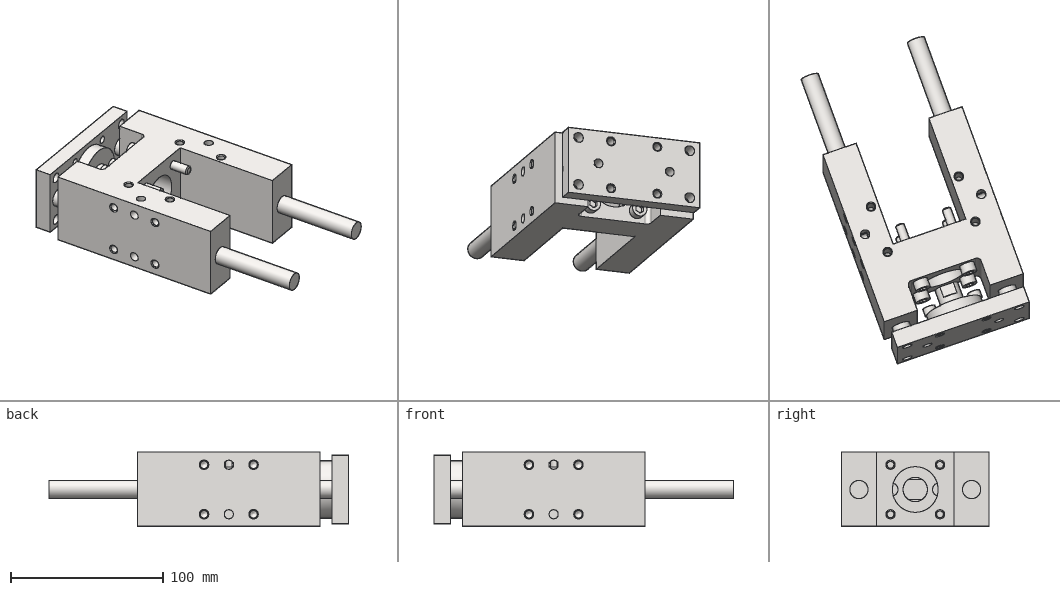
import cadquery as cq
import math


total_length = 197.0
plate_thickness = 11.0
flange_thickness = 7.75
housing_front = plate_thickness + flange_thickness

housing_length = 120.0
housing_width = 97.0
housing_height = 49.0
housing_centre_z = 0.25
housing_top = housing_centre_z + housing_height / 2
housing_middle = housing_front + housing_length / 2
channel_width = 50.6
pocket_depth = 20.3
pocket_corner_radius = 3.0
web_thickness = 27.3
web_front = housing_front + pocket_depth
web_back = web_front + web_thickness
cylinder_bore_diameter = 30.0

rod_diameter = 12.0
rod_y = 37.0

screw_pitch = 32.5
half_pitch = screw_pitch / 2
top_thread_y = 30.6
top_dowel_y = 40.5
thread_core_diameter = 4.92
thread_mouth_diameter = 6.2
thread_depth = 12.0
drill_point_angle = 118.0
dowel_diameter = 6.0
dowel_depth = 10.0

web_screw_diameter = 6.0
web_screw_head_diameter = 10.0
web_screw_head_height = 6.0
web_screw_overhang = 12.9
web_screw_tip_chamfer = 0.8
web_screw_socket = 5.0
web_screw_socket_depth = 3.0

plate_width = 92.0
plate_height = 45.0
corner_hole_diameter = 6.6
corner_hole_y = 39.0
dowel_hole_y = 25.0

flange_diameter = 38.0
flange_screw_y = 15.6
flange_screw_head_diameter = 8.5
flange_screw_head_height = 5.0
coupling_diameter = 16.0
coupling_length = 14.2
coupling_flat_length = 7.5
coupling_across_flats = 13.0


def cylinder(x, y, z, diameter, length, direction=(1, 0, 0)):
    """Cylinder that starts at a point and runs in the given direction."""
    return cq.Workplane(
        cq.Solid.makeCylinder(diameter / 2, length, cq.Vector(x, y, z), cq.Vector(*direction))
    )


def x_block(x, length, width, height, centre_z=0.0):
    """Block along X, starting at x and centred on Y = 0 and the given height."""
    block = cq.Workplane("XY").box(length, width, height, centered=(False, True, True))
    return block.translate((x, 0, centre_z))


def countersink(x, y, z, direction):
    """45 degree cone that breaks the mouth of a threaded hole."""
    depth = (thread_mouth_diameter - thread_core_diameter) / 2
    return cq.Workplane(cq.Solid.makeCone(
        thread_mouth_diameter / 2, thread_core_diameter / 2, depth,
        cq.Vector(x, y, z), cq.Vector(*direction),
    ))


def blind_thread(x, y, z, direction):
    """Cutter for a countersunk thread hole with a conical drill point."""
    core_radius = thread_core_diameter / 2
    point_length = core_radius / math.tan(math.radians(drill_point_angle / 2))
    start = cq.Vector(x, y, z)
    axis = cq.Vector(*direction)
    point = cq.Workplane(cq.Solid.makeCone(core_radius, 0, point_length, start + axis * thread_depth, axis))
    core = cylinder(x, y, z, thread_core_diameter, thread_depth, direction)
    return core.union(point).union(countersink(x, y, z, direction))


def web_screw(y, z):
    """Socket head screw through the web, its tip standing out at the back."""
    head_front = web_front - web_screw_head_height
    shank_length = web_thickness + web_screw_overhang
    head = cylinder(head_front, y, z, web_screw_head_diameter, web_screw_head_height)
    shank = cylinder(web_front, y, z, web_screw_diameter, shank_length)
    shank = shank.faces(">X").chamfer(web_screw_tip_chamfer)
    socket = (
        cq.Workplane("YZ", origin=(head_front, y, z))
        .transformed(rotate=(0, 0, 30))
        .polygon(6, web_screw_socket / math.cos(math.pi / 6))
        .extrude(web_screw_socket_depth)
    )
    return head.union(shank).cut(socket)


def make_housing():
    body = x_block(housing_front, housing_length, housing_width, housing_height, housing_centre_z)

    front_pocket = x_block(housing_front, pocket_depth, channel_width, housing_height, housing_centre_z)
    front_pocket = front_pocket.edges("|Z and >X").fillet(pocket_corner_radius)
    rear_length = housing_length - pocket_depth - web_thickness
    rear_channel = x_block(web_back, rear_length, channel_width, housing_height, housing_centre_z)
    body = body.cut(front_pocket).cut(rear_channel)

    body = body.cut(cylinder(web_front, 0, 0, cylinder_bore_diameter, web_thickness))

    for side in (-1, 1):
        outer_y = side * housing_width / 2
        inward = (0, -side, 0)
        down = (0, 0, -1)

        body = body.cut(cylinder(housing_front, side * rod_y, 0, rod_diameter, housing_length))

        dowel_y = side * top_dowel_y
        body = body.cut(cylinder(housing_middle, dowel_y, housing_top, dowel_diameter, dowel_depth, down))
        for x in (housing_middle - half_pitch, housing_middle + half_pitch):
            body = body.cut(blind_thread(x, side * top_thread_y, housing_top, down))

        for z in (-half_pitch, half_pitch):
            body = body.cut(cylinder(housing_middle, outer_y, z, dowel_diameter, dowel_depth, inward))
            for x in (housing_middle - half_pitch, housing_middle + half_pitch):
                body = body.cut(blind_thread(x, outer_y, z, inward))

    for y in (-half_pitch, half_pitch):
        for z in (-half_pitch, half_pitch):
            body = body.union(web_screw(y, z))
    return body


def make_carriage():
    body = x_block(0, plate_thickness, plate_width, plate_height)

    for y_side in (-1, 1):
        body = body.cut(cylinder(0, y_side * dowel_hole_y, 0, dowel_diameter, plate_thickness))
        for z in (-half_pitch, half_pitch):
            body = body.cut(cylinder(0, y_side * corner_hole_y, z, corner_hole_diameter, plate_thickness))
            body = body.cut(cylinder(0, y_side * half_pitch, z, thread_core_diameter, plate_thickness))
            body = body.cut(countersink(0, y_side * half_pitch, z, (1, 0, 0)))

    for y in (-rod_y, rod_y):
        rod_length = total_length - plate_thickness
        body = body.union(cylinder(plate_thickness, y, 0, rod_diameter, rod_length))

    body = body.union(cylinder(plate_thickness, 0, 0, flange_diameter, flange_thickness))
    for y in (-flange_screw_y, flange_screw_y):
        head = cylinder(housing_front, y, 0, flange_screw_head_diameter, flange_screw_head_height)
        body = body.union(head)

    stub = cylinder(housing_front, 0, 0, coupling_diameter, coupling_length)
    round_length = coupling_length - coupling_flat_length
    round_part = x_block(housing_front, round_length, coupling_diameter, coupling_diameter)
    flat_part = x_block(
        housing_front + round_length, coupling_flat_length, coupling_diameter, coupling_across_flats
    )
    return body.union(stub.intersect(round_part.union(flat_part)))


housing = make_housing()
carriage = make_carriage()
result = cq.Compound.makeCompound([housing.val(), carriage.val()])